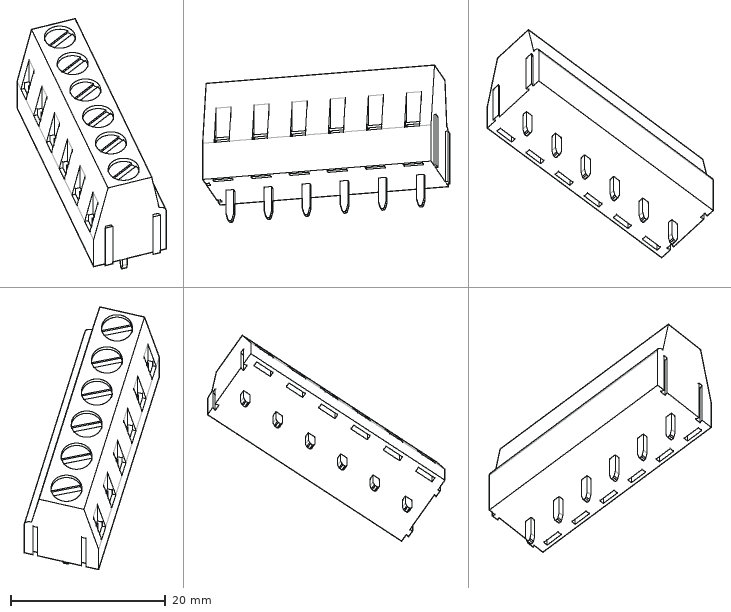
import cadquery as cq
import math


way_count = 6
overall_length = 30.88
long_rib_reach = 0.4
housing_length = overall_length - long_rib_reach
pitch = housing_length / way_count
housing_depth = 10.0
housing_height = 14.0
front_wall_height = 5.0
front_top_setback = 1.98
back_top_setback = 2.0
shoulder_radius = 1.0
shoulder_height = 7.97
way_centres = [pitch * (index + 0.5) for index in range(way_count)]

screw_diameter = 4.0
screw_y = housing_depth / 2
screw_recess = 0.6
slot_width = 0.8
slot_depth = 0.3
slot_angle = 118.0

entry_width = 2.0
entry_top = 10.13
lip_thickness = 0.5
chamber_width = 2.55
chamber_top = 6.02
clamp_radius = chamber_top - front_wall_height
front_slope = front_top_setback / (housing_height - front_wall_height)
entry_back = front_slope * (entry_top - front_wall_height)

pin_length = 4.25
pin_width = 1.02
pin_thickness = 0.68
pin_straight = 3.27
pin_taper_end = 4.08
pin_taper_width = 0.6
pin_tip_width = 0.3
pin_y = housing_depth / 2

rib_height = 6.98
front_rib_y = 2.0
back_rib_y = 8.52
short_rib_reach = 0.3
rib_root_width = 0.75
rib_tip_width = 1.05
groove_mouth_width = 0.55
groove_floor_width = 0.85
groove_depth = 0.5


def box(x_range, y_range, z_range):
    """Box spanning the given (low, high) ranges."""
    lows, highs = zip(x_range, y_range, z_range)
    sizes = [high - low for low, high in zip(lows, highs)]
    return cq.Workplane("XY").box(*sizes, centered=False).translate(lows)


def centred_range(centre, width):
    return (centre - width / 2, centre + width / 2)


def make_housing():
    """Side outline with sloping front, sloping back and a rounded shoulder."""
    shoulder_y = housing_depth - shoulder_radius
    arc_offset = shoulder_radius * math.sqrt(0.5)
    shoulder_start = shoulder_height - shoulder_radius
    return (
        cq.Workplane("YZ")
        .lineTo(housing_depth, 0)
        .lineTo(housing_depth, shoulder_start)
        .threePointArc(
            (shoulder_y + arc_offset, shoulder_start + arc_offset),
            (shoulder_y, shoulder_height),
        )
        .lineTo(housing_depth - back_top_setback, housing_height)
        .lineTo(front_top_setback, housing_height)
        .lineTo(0, front_wall_height)
        .close()
        .extrude(housing_length)
    )


def make_screw_recess(x):
    """Round recess above the screw head, with the driver slot below it."""
    recess = cq.Workplane("XY").circle(screw_diameter / 2).extrude(-screw_recess)
    slot = (
        cq.Workplane("XY")
        .rect(screw_diameter, slot_width)
        .extrude(-screw_recess - slot_depth)
        .rotate((0, 0, 0), (0, 0, 1), slot_angle)
    )
    head = cq.Workplane("XY").circle(screw_diameter / 2).extrude(-screw_recess - slot_depth)
    return recess.union(slot.intersect(head)).translate((x, screw_y, housing_height))


def make_wire_entry(x):
    """Front window, open chamber below it and the space around the rounded clamp."""
    clamp_back = entry_back + clamp_radius
    chamber_x = centred_range(x, chamber_width)
    window = box(centred_range(x, entry_width), (0, entry_back), (front_wall_height, entry_top))
    chamber = box(chamber_x, (lip_thickness, entry_back), (0, chamber_top))
    clamp_space = box(chamber_x, (entry_back, clamp_back), (front_wall_height, chamber_top))
    clamp = (
        cq.Workplane("YZ", origin=(x, clamp_back, front_wall_height))
        .circle(clamp_radius)
        .extrude(entry_width / 2, both=True)
    )
    return window.union(chamber).union(clamp_space.cut(clamp))


def make_pin(x):
    """Flat pin with a two-stage tapered tip, symmetric about its own axis."""
    half_outline = [
        (pin_width / 2, 0),
        (pin_width / 2, -pin_straight),
        (pin_taper_width / 2, -pin_taper_end),
        (pin_tip_width / 2, -pin_length),
    ]
    mirrored = [(-px, pz) for px, pz in reversed(half_outline)]
    return (
        cq.Workplane("XZ", origin=(x, pin_y, 0))
        .polyline(half_outline + mirrored)
        .close()
        .extrude(pin_thickness / 2, both=True)
    )


def make_dovetail(x, y, near_width, far_width, reach):
    """Upright dovetail bar growing from near_width at x to far_width at x + reach."""
    return (
        cq.Workplane("XY")
        .polyline([
            (x, y - near_width / 2),
            (x + reach, y - far_width / 2),
            (x + reach, y + far_width / 2),
            (x, y + near_width / 2),
        ])
        .close()
        .extrude(rib_height)
    )


result = make_housing()

for way_x in way_centres:
    result = result.cut(make_screw_recess(way_x))
    result = result.cut(make_wire_entry(way_x))
    result = result.union(make_pin(way_x))

for rib_y, rib_reach in ((front_rib_y, short_rib_reach), (back_rib_y, long_rib_reach)):
    rib = make_dovetail(housing_length, rib_y, rib_root_width, rib_tip_width, rib_reach)
    groove = make_dovetail(0, rib_y, groove_mouth_width, groove_floor_width, groove_depth)
    result = result.union(rib).cut(groove)